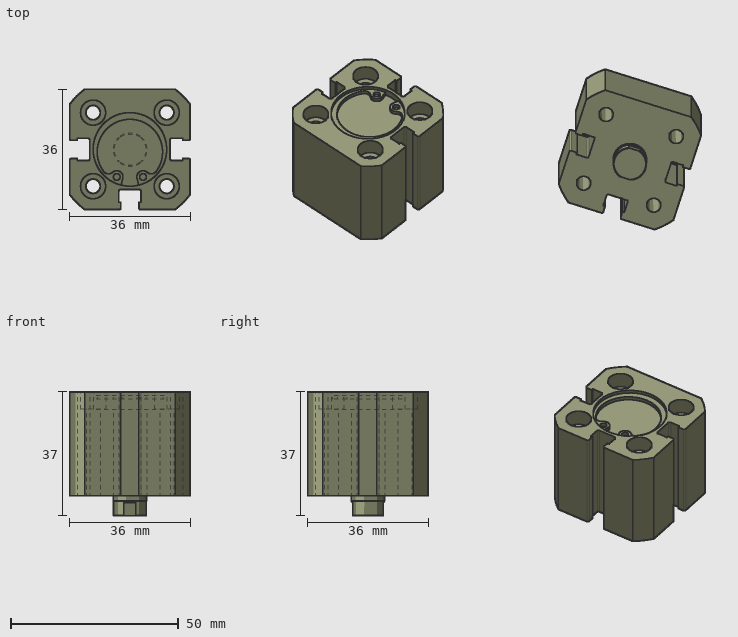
import cadquery as cq
import math

width = 36.0
half_width = width / 2
corner_radius = 22.5
body_height = 31.0

slot_mouth = 5.4
slot_inside = 6.6
slot_lip = 2.3
slot_depth = 6.0
slot_rounding = 0.48
edge_search = 0.05

hole_spacing = 21.98
hole_diameter = 4.2
counterbore_diameter = 7.5
counterbore_depth = 5.0

bore_radius = 11.0
ring_recess = 1.0
ring_thickness = 1.1
cover_thickness = 3.0
bore_depth = ring_recess + ring_thickness + cover_thickness

ring_opening_radius = 9.75
ring_opening_y = -0.78
ear_radius = 1.85
ear_blend_radius = 1.85
ear_hole_diameter = 2.0
ear_x = 3.92
ear_y = -8.2
gap_overrun = 1.1

rod_radius = 5.0
tip_radius = 4.92
total_height = 37
rod_bottom = body_height - total_height
shoulder_z = -1.5
shoulder_chamfer = rod_radius - tip_radius
flat_distance = 4.6
flat_top = -2.0
tip_chamfer = 0.15


def slot_cutter(angle):
    """T-slot opening toward +X with the full body height, turned about Z by the angle."""
    floor_x = half_width - slot_depth
    lip_x = half_width - slot_lip
    neck = (
        cq.Workplane("XY")
        .rect(2 * slot_depth, slot_mouth)
        .extrude(body_height)
        .translate((half_width, 0, 0))
    )
    chamber = (
        cq.Workplane("XY")
        .rect(lip_x - floor_x, slot_inside)
        .extrude(body_height)
        .edges("|Z and <X")
        .fillet(slot_rounding)
        .translate(((lip_x + floor_x) / 2, 0, 0))
    )
    return neck.union(chamber).rotate((0, 0, 0), (0, 0, 1), angle)


def round_edge_at(housing, x, y):
    """Round the vertical housing edge that stands at (x, y)."""
    edge = cq.selectors.BoxSelector(
        (x - edge_search, y - edge_search, 0),
        (x + edge_search, y + edge_search, body_height),
    )
    return housing.edges(edge).fillet(slot_rounding)


def make_housing():
    blank = cq.Workplane("XY").rect(width, width).extrude(body_height)
    turned = cq.Workplane("XY").circle(corner_radius).extrude(body_height)
    housing = blank.intersect(turned)
    for angle in (0, 180, 270):
        housing = housing.cut(slot_cutter(angle))

    for mouth_edge in (-slot_mouth / 2, slot_mouth / 2):
        housing = round_edge_at(housing, half_width, mouth_edge)
        housing = round_edge_at(housing, -half_width, mouth_edge)
        housing = round_edge_at(housing, mouth_edge, -half_width)

    housing = (
        housing.faces(">Z")
        .workplane(origin=(0, 0, body_height))
        .rect(hole_spacing, hole_spacing, forConstruction=True)
        .vertices()
        .cboreHole(hole_diameter, counterbore_diameter, counterbore_depth)
    )
    bore = cq.Workplane("XY", origin=(0, 0, body_height)).circle(bore_radius).extrude(-bore_depth)
    rod_hole = cq.Workplane("XY").circle(rod_radius).extrude(body_height - bore_depth)
    return housing.cut(bore).cut(rod_hole)


def make_cover():
    cover_bottom = body_height - bore_depth
    return cq.Workplane("XY", origin=(0, 0, cover_bottom)).circle(bore_radius).extrude(cover_thickness)


def point_toward(start, end, distance):
    """Point at the distance from start on the line toward end."""
    share = distance / math.dist(start, end)
    return (start[0] + share * (end[0] - start[0]), start[1] + share * (end[1] - start[1]))


def mirrored(point):
    return (-point[0], point[1])


def make_ring():
    center = (0, ring_opening_y)
    ear = (ear_x, ear_y)

    to_blend = ring_opening_radius - ear_blend_radius
    ear_to_blend = ear_radius + ear_blend_radius
    to_ear = math.dist(center, ear)
    angle_at_center = math.acos((to_blend**2 + to_ear**2 - ear_to_blend**2) / (2 * to_blend * to_ear))
    blend_angle = math.atan2(ear[1] - center[1], ear[0]) + angle_at_center
    blend = (to_blend * math.cos(blend_angle), center[1] + to_blend * math.sin(blend_angle))
    blend_start = point_toward(center, blend, ring_opening_radius)
    blend_end = point_toward(blend, ear, ear_blend_radius)
    blend_middle_aim = ((blend_start[0] + blend_end[0]) / 2, (blend_start[1] + blend_end[1]) / 2)
    blend_middle = point_toward(blend, blend_middle_aim, ear_blend_radius)

    ear_distance = math.hypot(ear_x, ear_y)
    gap_angle = math.atan2(ear_y, ear_x) - math.asin(ear_radius / ear_distance)
    tangent_distance = math.sqrt(ear_distance**2 - ear_radius**2)
    gap_start = (tangent_distance * math.cos(gap_angle), tangent_distance * math.sin(gap_angle))
    gap_reach = bore_radius + gap_overrun
    gap_end = (gap_reach * math.cos(gap_angle), gap_reach * math.sin(gap_angle))
    ear_middle_aim = ((blend_end[0] + gap_start[0]) / 2, (blend_end[1] + gap_start[1]) / 2)
    ear_middle = point_toward(ear, ear_middle_aim, ear_radius)

    ring_bottom = body_height - ring_recess - ring_thickness
    base = cq.Workplane("XY", origin=(0, 0, ring_bottom))
    opening = (
        base.moveTo(*gap_end)
        .lineTo(*gap_start)
        .threePointArc(ear_middle, blend_end)
        .threePointArc(blend_middle, blend_start)
        .threePointArc((0, ring_opening_y + ring_opening_radius), mirrored(blend_start))
        .threePointArc(mirrored(blend_middle), mirrored(blend_end))
        .threePointArc(mirrored(ear_middle), mirrored(gap_start))
        .lineTo(*mirrored(gap_end))
        .close()
        .extrude(ring_thickness)
    )
    ear_holes = base.pushPoints([ear, mirrored(ear)]).circle(ear_hole_diameter / 2).extrude(ring_thickness)
    return base.circle(bore_radius).extrude(ring_thickness).cut(opening).cut(ear_holes)


def make_rod():
    rod_top = body_height - bore_depth
    rod = (
        cq.Workplane("XZ")
        .moveTo(0, rod_top)
        .lineTo(rod_radius, rod_top)
        .lineTo(rod_radius, shoulder_z)
        .lineTo(tip_radius, shoulder_z - shoulder_chamfer)
        .lineTo(tip_radius, rod_bottom + tip_chamfer)
        .lineTo(tip_radius - tip_chamfer, rod_bottom)
        .lineTo(0, rod_bottom)
        .close()
        .revolve(360, (0, 0), (0, 1))
    )
    run_out = rod_radius - flat_distance
    flat = (
        cq.Workplane("YZ")
        .moveTo(flat_distance, rod_bottom)
        .lineTo(flat_distance, flat_top)
        .lineTo(rod_radius, flat_top + run_out)
        .lineTo(rod_radius, rod_bottom)
        .close()
        .extrude(rod_radius, both=True)
    )
    return rod.cut(flat).cut(flat.mirror("XZ"))


housing = make_housing()
cover = make_cover()
ring = make_ring()
rod = make_rod()

result = cq.Compound.makeCompound([housing.val(), cover.val(), ring.val(), rod.val()])